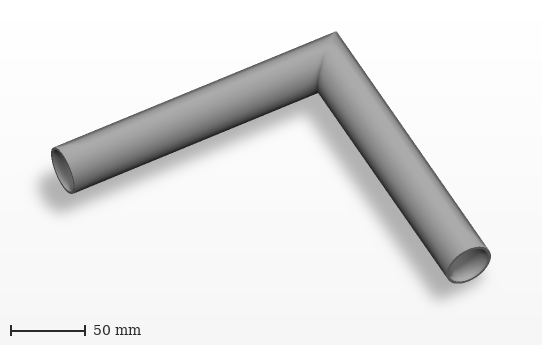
import cadquery as cq

overall_length = 216.8
outer_diameter = 33.6
bore_diameter = 29.7

leg_length = overall_length - outer_diameter / 2


def mitred_rod(diameter):
    """Solid corner whose legs run from the origin along +X and -Y."""
    radius = diameter / 2
    full_length = leg_length + radius
    leg_x = cq.Workplane("YZ", origin=(-radius, 0, 0)).circle(radius).extrude(full_length)
    leg_y = cq.Workplane("XZ", origin=(0, radius, 0)).circle(radius).extrude(full_length)

    mitre_side = (
        cq.Workplane("XY", origin=(0, 0, -diameter))
        .polyline([
            (-overall_length, overall_length),
            (overall_length, overall_length),
            (overall_length, -overall_length),
        ])
        .close()
        .extrude(2 * diameter)
    )
    return leg_x.intersect(mitre_side).union(leg_y.cut(mitre_side))


result = mitred_rod(outer_diameter).cut(mitred_rod(bore_diameter))